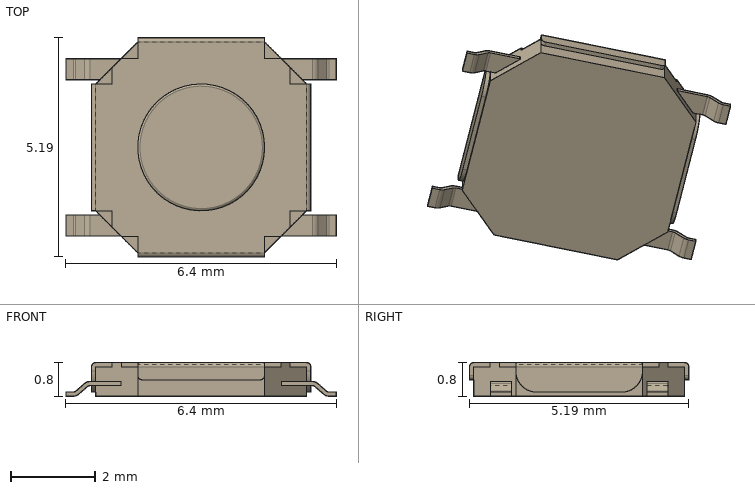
import cadquery as cq
import math

overall_length = 6.4
total_height = 0.8
sheet = 0.1
body_size = 4.99
flat_width = 3.0
plate_size = 4.21

body_height = total_height - sheet
cover_size = body_size + 2 * sheet
corner_cut = (body_size - flat_width) / 2

side_flap_height = 0.705
side_flap_corner = 0.5
end_flap_height = 0.41
end_flap_corner = 0.1
fold_radius = sheet

button_diameter = flat_width
button_rim = 0.05

lead_width = 0.5
lead_center_y = 1.85
lead_foot = 0.18
lead_lift = 0.25
lead_angle = math.radians(41)
lower_bend = 0.13
upper_bend = 0.15


def cut_corner_square(size, corner, bottom, height):
    """Square slab with its four vertical corners cut at 45 degrees."""
    slab = cq.Workplane("XY").workplane(offset=bottom).rect(size, size).extrude(height)
    return slab.edges("|Z").chamfer(corner)


def flap_pair(height, corner):
    """Slab across X whose two ends are folded flaps, folds and lower corners rounded."""
    slab = cq.Workplane("XY").box(cover_size, flat_width, height, centered=(True, True, False))
    slab = slab.translate((0, 0, total_height - height))
    slab = slab.edges("|X and <Z").fillet(corner)
    return slab.faces(">Z").edges("|Y").fillet(fold_radius)


def lead():
    """Bent strip at the -X, +Y corner, running from its tip into the body."""
    tip_x = -overall_length / 2
    middle_z = sheet / 2
    bend_run = math.sin(lead_angle)
    bend_rise = 1 - math.cos(lead_angle)
    ramp_height = lead_lift - (lower_bend + upper_bend) * bend_rise

    foot_end = (tip_x + lead_foot, middle_z)
    ramp_start = (foot_end[0] + lower_bend * bend_run, middle_z + lower_bend * bend_rise)
    ramp_end = (ramp_start[0] + ramp_height / math.tan(lead_angle), ramp_start[1] + ramp_height)
    arm_start = (ramp_end[0] + upper_bend * bend_run, middle_z + lead_lift)
    arm_end = (-flat_width / 2, middle_z + lead_lift)

    path = (
        cq.Workplane("XZ", origin=(0, lead_center_y, 0))
        .moveTo(tip_x, middle_z)
        .lineTo(*foot_end)
        .tangentArcPoint(ramp_start, relative=False)
        .lineTo(*ramp_end)
        .tangentArcPoint(arm_start, relative=False)
        .lineTo(*arm_end)
    )
    section = cq.Workplane("YZ", origin=(tip_x, lead_center_y, middle_z)).rect(lead_width, sheet)
    return section.sweep(path)


body = cut_corner_square(body_size, corner_cut, 0, body_height)

plate_corner = plate_size - (body_size + flat_width) / 2
cover = cut_corner_square(plate_size, plate_corner, body_height, sheet)
side_flaps = flap_pair(side_flap_height, side_flap_corner)
end_flaps = flap_pair(end_flap_height, end_flap_corner).rotate((0, 0, 0), (0, 0, 1), 90)
result = body.union(cover).union(side_flaps).union(end_flaps)

button_radius = button_diameter / 2
rim_center = (button_radius - button_rim, total_height - button_rim)
rim_middle = (
    rim_center[0] + button_rim * math.sin(math.pi / 4),
    rim_center[1] + button_rim * math.cos(math.pi / 4),
)
rim_groove = (
    cq.Workplane("XZ")
    .moveTo(button_radius, total_height)
    .lineTo(rim_center[0], total_height)
    .threePointArc(rim_middle, (button_radius, rim_center[1]))
    .close()
    .revolve(360, (0, 0, 0), (0, 1, 0))
)
result = result.cut(rim_groove)

left_back = lead()
left_front = left_back.mirror("XZ")
for corner_lead in (left_back, left_front, left_back.mirror("YZ"), left_front.mirror("YZ")):
    result = result.union(corner_lead)